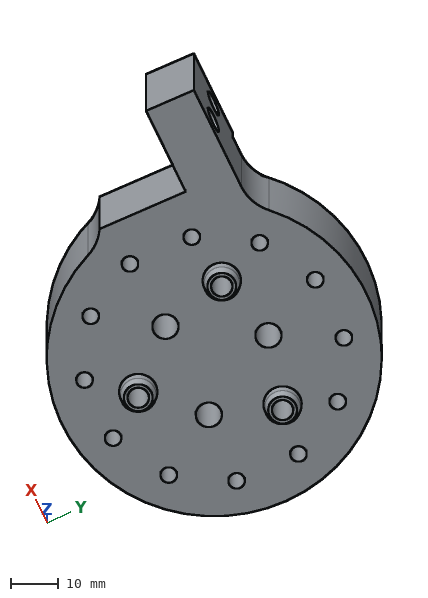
import cadquery as cq
import math

disc_diameter = 70.0
disc_radius = disc_diameter / 2
disc_height = 22.5
bevel_width = 1.5
bevel_height = 2.5

outer_hole_count = 12
outer_hole_diameter = 3.5
outer_ring_radius = 27.5
outer_start_angle = 15
pin_count = 3
pin_hole_diameter = 4.5
pin_ring_radius = 17.5
pin_start_angle = 30
large_hole_count = 3
large_hole_diameter = 5.5
large_ring_radius = 12.5
large_start_angle = 90

pin_height = 3.55
pin_top_diameter = 8.0
pin_waist_diameter = 7.5
pin_tip_diameter = 6.0
pin_waist_depth = 1.9

overall_length = 91
lug_length = 19.5
lug_thickness = 11.0
lug_back_y = 21.2
lug_end_x = overall_length - disc_radius
lug_start_x = lug_end_x - lug_length
lug_hole_diameter = 5.5
lug_hole_spacing = 10

clearance = 0.3
web_height = disc_height - bevel_height - clearance
web_end_x = lug_start_x - clearance
web_front_y = -8.4
fillet_radius = 10

full_height = disc_height + pin_height


def ring_points(radius, count, start_angle):
    """Points evenly spaced on a circle about the Z axis."""
    angles = [math.radians(start_angle + 360 / count * i) for i in range(count)]
    return [(radius * math.cos(a), radius * math.sin(a)) for a in angles]


def make_disc():
    """Round body with a bevelled top rim."""
    rim_z = disc_height - bevel_height
    profile = [
        (0, 0),
        (disc_radius, 0),
        (disc_radius, rim_z),
        (disc_radius - bevel_width, disc_height),
        (0, disc_height),
    ]
    return cq.Workplane("XZ").polyline(profile).close().revolve(360, (0, 0), (0, 1))


def make_pin():
    """Pin below z = 0 that tapers in two steps."""
    profile = [
        (0, 0),
        (pin_top_diameter / 2, 0),
        (pin_waist_diameter / 2, -pin_waist_depth),
        (pin_tip_diameter / 2, -pin_height),
        (0, -pin_height),
    ]
    return cq.Workplane("XZ").polyline(profile).close().revolve(360, (0, 0), (0, 1))


def polar_point(centre, radius, angle):
    """Point on a circle at an angle in radians."""
    return (centre[0] + radius * math.cos(angle), centre[1] + radius * math.sin(angle))


def fillet_centre(centre_y):
    """Centre of a web fillet arc that touches the disc from outside."""
    reach = disc_radius + fillet_radius
    return (math.sqrt(reach**2 - centre_y**2), centre_y)


def make_web():
    """Web whose concave sides run tangent into the disc."""
    back_centre = fillet_centre(lug_back_y + fillet_radius)
    back_angle = math.atan2(back_centre[1], back_centre[0])
    back_touch = polar_point((0, 0), disc_radius, back_angle)
    back_end_angle = -math.pi / 2
    back_mid_angle = (back_angle - math.pi + back_end_angle) / 2
    back_mid = polar_point(back_centre, fillet_radius, back_mid_angle)
    back_end = polar_point(back_centre, fillet_radius, back_end_angle)

    front_centre = fillet_centre(web_front_y - fillet_radius)
    front_angle = math.atan2(front_centre[1], front_centre[0])
    front_touch = polar_point((0, 0), disc_radius, front_angle)
    corner_angle = math.acos((web_end_x - front_centre[0]) / fillet_radius)
    front_mid_angle = (corner_angle + math.pi + front_angle) / 2
    front_mid = polar_point(front_centre, fillet_radius, front_mid_angle)
    corner = polar_point(front_centre, fillet_radius, corner_angle)

    return (
        cq.Workplane("XY")
        .moveTo(0, 0)
        .lineTo(*back_touch)
        .threePointArc(back_mid, back_end)
        .lineTo(web_end_x, lug_back_y)
        .lineTo(*corner)
        .threePointArc(front_mid, front_touch)
        .close()
        .extrude(web_height)
    )


def make_lug():
    """Upright plate with two cross holes and an end face stepped above the web."""
    outline = [
        (web_end_x, 0),
        (lug_end_x, 0),
        (lug_end_x, disc_height),
        (lug_start_x, disc_height),
        (lug_start_x, web_height),
        (web_end_x, web_height),
    ]
    back_plane = cq.Workplane("XZ", origin=(0, lug_back_y, 0))
    plate = back_plane.polyline(outline).close().extrude(lug_thickness)
    hole_x = (lug_start_x + lug_end_x) / 2
    hole_points = [(hole_x, (disc_height + side * lug_hole_spacing) / 2) for side in (-1, 1)]
    holes = back_plane.pushPoints(hole_points).circle(lug_hole_diameter / 2).extrude(lug_thickness)
    return plate.cut(holes)


body = make_disc().union(make_web()).union(make_lug())

pin_points = ring_points(pin_ring_radius, pin_count, pin_start_angle)
for x, y in pin_points:
    body = body.union(make_pin().translate((x, y, 0)))

hole_rings = [
    (outer_hole_diameter, ring_points(outer_ring_radius, outer_hole_count, outer_start_angle)),
    (pin_hole_diameter, pin_points),
    (large_hole_diameter, ring_points(large_ring_radius, large_hole_count, large_start_angle)),
]
for diameter, points in hole_rings:
    drill = cq.Workplane("XY", origin=(0, 0, -pin_height)).pushPoints(points)
    body = body.cut(drill.circle(diameter / 2).extrude(full_height))

result = body